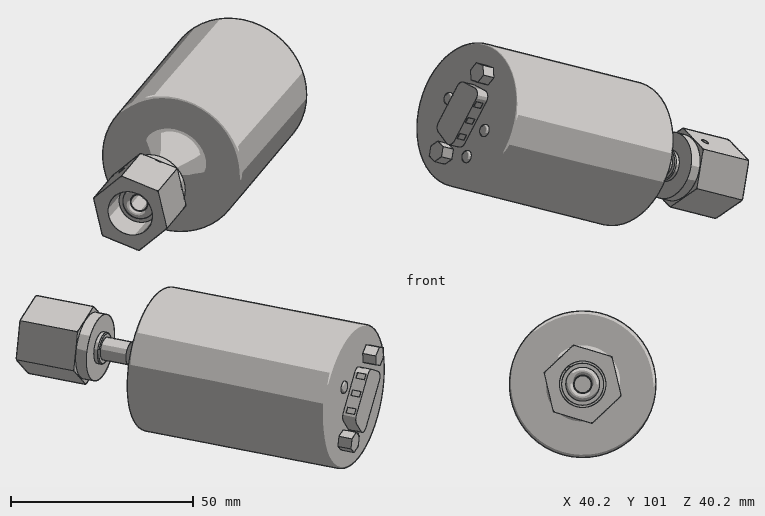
import cadquery as cq
import math


HEX_HALF_ANGLE = 30

BODY_RADIUS = 20.1
BODY_LENGTH = 59.6
BODY_FRONT_FILLET = 1.0
BODY_BACK_FILLET = 0.5

TUBE_DIAMETER = 6.4
TUBE_RADIUS = TUBE_DIAMETER / 2
CONE_LENGTH = 7.8
CONE_BASE_RADIUS = 10.0
CONE_BASE_FILLET = 1.7

STEP_START = 15.4
STEP_RADIUS = 4.4
STEP_CHAMFER = 0.3
COLLAR_START = 16.9
COLLAR_RADIUS = 9.3
NUT_START = 20.1
NUT_END = 37.5
NUT_ACROSS_FLATS = 19.1
NUT_FACE_ANGLE = 13.3
NUT_CHAMFER_RADIUS = 10.8
NUT_CHAMFER_LENGTH = 0.3

SOCKET_RADIUS = 6.4
SOCKET_DEPTH = 12.1
GLAND_RADIUS = 5.8
GLAND_LENGTH = 4.0
BEAD_OUTER_RADIUS = 4.6
BEAD_INNER_RADIUS = 2.5
GLAND_BORE_RADIUS = 2.3
GLAND_BORE_DEPTH = 8.1

LEAK_HOLE_DIAMETER = 2.0
LEAK_HOLE_OFFSET = 4.5
LEAK_HOLE_ANGLE = NUT_FACE_ANGLE + 4 * HEX_HALF_ANGLE

CONNECTOR_ANGLE = 130
CONNECTOR_HEIGHT = 3.9
SHELL_MEAN_WIDTH = 16.8
SHELL_DEPTH = 9.0
SHELL_SIDE_SLANT = 10
SHELL_CORNER_RADIUS = 2.1
DIMPLE_PITCH = 5.0
DIMPLE_WIDTH = 1.6
DIMPLE_LENGTH = 2.5
DIMPLE_DEPTH = 0.1
DIMPLE_BACK_MARGIN = 0.6
POST_SPACING = 25.0
POST_ACROSS_FLATS = 4.9
POST_FACE_ANGLES = (55, 13.3)

HEAD_RADIUS = 1.7
HEAD_HEIGHT = 0.6
HEAD_FILLET = 0.5
SIDE_HEAD_OFFSET = 9.2
LOWER_HEAD_OFFSET = 11.9


def plane_at(y, angle=0):
    """Plane facing -Y at height y, with its local x turned by angle from +X towards +Z."""
    direction = math.radians(angle)
    return cq.Plane(origin=(0, y, 0), xDir=(math.cos(direction), 0, math.sin(direction)), normal=(0, -1, 0))


def disc(radius, y_back, y_front):
    return cq.Workplane(plane_at(y_back)).circle(radius).extrude(y_back - y_front)


def hex_prism(across_flats, face_angle, length, y_back, centre=(0, 0)):
    """Hexagonal prism reaching from y_back towards -Y, with one face normal at face_angle."""
    corner_diameter = across_flats / math.cos(math.radians(HEX_HALF_ANGLE))
    x, z = centre
    plane = plane_at(y_back, face_angle + HEX_HALF_ANGLE)
    plane.origin = cq.Vector(x, y_back, z)
    return cq.Workplane(plane).polygon(6, corner_diameter).extrude(length)


def make_body():
    body = disc(BODY_RADIUS, BODY_LENGTH, 0)
    body = body.faces("<Y").edges().fillet(BODY_FRONT_FILLET)
    return body.faces(">Y").edges().fillet(BODY_BACK_FILLET)


def make_neck():
    """Cone and tube, with a concave fillet where the cone meets the body."""
    half_turn = math.atan2(CONE_LENGTH, CONE_BASE_RADIUS - TUBE_RADIUS) / 2
    tangent = CONE_BASE_FILLET * math.tan(half_turn)
    slope = 2 * half_turn
    face_end = (CONE_BASE_RADIUS + tangent, 0)
    cone_end = (CONE_BASE_RADIUS - tangent * math.cos(slope), -tangent * math.sin(slope))
    arc_middle = (
        face_end[0] - CONE_BASE_FILLET * math.sin(half_turn),
        -CONE_BASE_FILLET * (1 - math.cos(half_turn)),
    )
    profile = (
        cq.Workplane("XY")
        .lineTo(*face_end)
        .threePointArc(arc_middle, cone_end)
        .lineTo(TUBE_RADIUS, -CONE_LENGTH)
        .lineTo(TUBE_RADIUS, -STEP_START)
        .lineTo(0, -STEP_START)
        .close()
    )
    return profile.revolve(360, (0, 0, 0), (0, 1, 0))


def make_nut():
    """Hex nut with its corners chamfered at both ends."""
    nut = hex_prism(NUT_ACROSS_FLATS, NUT_FACE_ANGLE, NUT_END - NUT_START, -NUT_START)
    envelope = disc(NUT_CHAMFER_RADIUS + NUT_CHAMFER_LENGTH, -NUT_START, -NUT_END)
    envelope = envelope.edges().chamfer(NUT_CHAMFER_LENGTH)
    return nut.intersect(envelope)


def make_fitting():
    """Step, collar and nut, with a beaded gland at the bottom of the socket."""
    step = disc(STEP_RADIUS, -STEP_START, -COLLAR_START)
    step = step.faces(">Y").edges().chamfer(STEP_CHAMFER)
    collar = disc(COLLAR_RADIUS, -COLLAR_START, -NUT_START)
    socket_floor = SOCKET_DEPTH - NUT_END
    gland_face = socket_floor - GLAND_LENGTH
    socket = disc(SOCKET_RADIUS, socket_floor, -NUT_END)
    gland = disc(GLAND_RADIUS, socket_floor, gland_face)
    bead = cq.Workplane("XY").add(
        cq.Solid.makeTorus(
            (BEAD_OUTER_RADIUS + BEAD_INNER_RADIUS) / 2,
            (BEAD_OUTER_RADIUS - BEAD_INNER_RADIUS) / 2,
            cq.Vector(0, gland_face, 0),
            cq.Vector(0, 1, 0),
        )
    )
    gland_bore = disc(GLAND_BORE_RADIUS, gland_face + GLAND_BORE_DEPTH, gland_face)
    fitting = step.union(collar).union(make_nut()).cut(socket)
    return fitting.union(gland).union(bead).cut(gland_bore).cut(make_leak_hole())


def make_leak_hole():
    direction = math.radians(LEAK_HOLE_ANGLE)
    outward = cq.Vector(math.cos(direction), 0, math.sin(direction))
    start = cq.Vector(0, -NUT_START - LEAK_HOLE_OFFSET, 0) + outward * GLAND_RADIUS
    return cq.Workplane("XY").add(
        cq.Solid.makeCylinder(LEAK_HOLE_DIAMETER / 2, NUT_ACROSS_FLATS, start, outward)
    )


def make_shell(back):
    """D-shaped shell: narrow long side towards local -y, wide long side towards local +y."""
    slant = SHELL_DEPTH / 2 * math.tan(math.radians(SHELL_SIDE_SLANT))
    narrow = SHELL_MEAN_WIDTH / 2 - slant
    wide = SHELL_MEAN_WIDTH / 2 + slant
    half_depth = SHELL_DEPTH / 2
    outline = [(-narrow, -half_depth), (narrow, -half_depth), (wide, half_depth), (-wide, half_depth)]
    plane = plane_at(back, CONNECTOR_ANGLE)
    shell = cq.Workplane(plane).polyline(outline).close().extrude(CONNECTOR_HEIGHT)
    shell = shell.edges("|Y").fillet(SHELL_CORNER_RADIUS)
    dimple_centres = [
        (column * DIMPLE_PITCH, side * half_depth) for column in (-1, 0, 1) for side in (-1, 1)
    ]
    dimples = (
        cq.Workplane(plane)
        .workplane(offset=DIMPLE_BACK_MARGIN)
        .pushPoints(dimple_centres)
        .rect(DIMPLE_WIDTH, 2 * DIMPLE_DEPTH)
        .extrude(DIMPLE_LENGTH)
    )
    return shell.cut(dimples)


def make_connector():
    back = BODY_LENGTH + CONNECTOR_HEIGHT
    connector = make_shell(back)
    direction = math.radians(CONNECTOR_ANGLE)
    for side, face_angle in zip((1, -1), POST_FACE_ANGLES):
        reach = side * POST_SPACING / 2
        centre = (reach * math.cos(direction), reach * math.sin(direction))
        connector = connector.add(
            hex_prism(POST_ACROSS_FLATS, face_angle, CONNECTOR_HEIGHT, back, centre)
        )
    return connector.combine()


def make_heads():
    """Two heads on either side of the shell and one near the lower post."""
    direction = math.radians(CONNECTOR_ANGLE - 90)
    side_x = SIDE_HEAD_OFFSET * math.cos(direction)
    side_z = SIDE_HEAD_OFFSET * math.sin(direction)
    centres = [(side_x, side_z), (-side_x, -side_z), (0, -LOWER_HEAD_OFFSET)]
    heads = (
        cq.Workplane(plane_at(BODY_LENGTH + HEAD_HEIGHT))
        .pushPoints(centres)
        .circle(HEAD_RADIUS)
        .extrude(HEAD_HEIGHT)
    )
    return heads.faces(">Y").edges().fillet(HEAD_FILLET)


result = (
    make_body()
    .union(make_neck())
    .union(make_fitting())
    .union(make_connector())
    .union(make_heads())
)